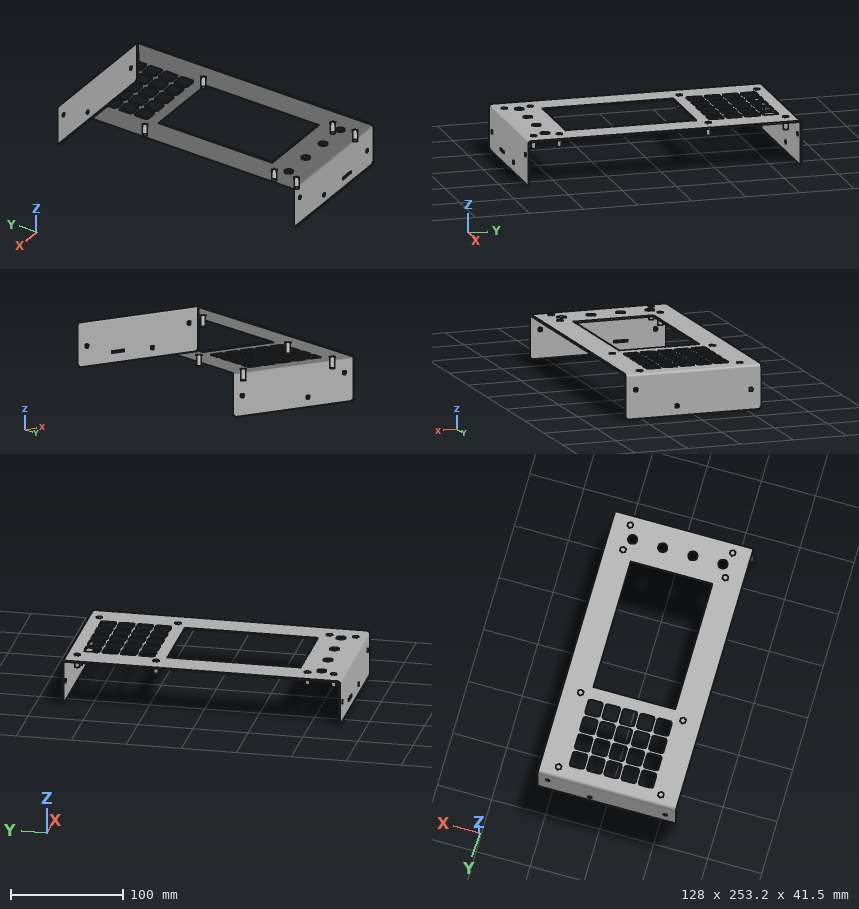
import cadquery as cq
import math

WIDTH = 128.0
LENGTH = 253.2
HEIGHT = 41.5
SHEET = 1.5
BEND_RADIUS = 3.0
WALL_CORNER_CHAMFER = 2.0

GRILLE_COLUMNS = 5
GRILLE_ROWS = 4
GRILLE_PITCH_X = 16.0
GRILLE_PITCH_Y = 16.7
GRILLE_OPENING_X = 13.2
GRILLE_OPENING_Y = 14.0
GRILLE_CORNER_RADIUS = 2.3
GRILLE_CENTRE_Y = 80.3

WINDOW_WIDTH = 75.5
WINDOW_TOP_Y = 36.2
WINDOW_BOTTOM_Y = -84.5

BUTTON_COUNT = 4
BUTTON_PITCH = 27.9
BUTTON_DIAMETER = 8.0
BUTTON_Y = -104.8

SCREW_HOLE_DIAMETER = 3.5
SCREW_HOLES = [(-54.5, 18.5), (54.5, 26.5), (15.5, 8.9)]
SLOT_LENGTH = 13.0
SLOT_HEIGHT = 1.8
SLOT_X = -21.5
SLOT_Z = 10.0

HEAD_ACROSS_FLATS = 4.8
POST_DIAMETER = 4.3
STANDOFF_LENGTH = 11.6
STANDOFF_X = 47.3
STANDOFF_ROWS_Y = [116.2, 44.5, -93.2, -117.0]
STANDOFF_PLACES = [(x, y) for y in STANDOFF_ROWS_Y for x in (-STANDOFF_X, STANDOFF_X)]


def folded_sheet():
    """Channel-shaped sheet with a rounded fold along each end."""
    outer = (
        cq.Workplane("XY")
        .box(WIDTH, LENGTH, HEIGHT, centered=(True, True, False))
        .edges("|X and >Z")
        .fillet(BEND_RADIUS)
        .edges("|Y and <Z")
        .chamfer(WALL_CORNER_CHAMFER)
    )
    inner = (
        cq.Workplane("XY")
        .box(WIDTH, LENGTH - 2 * SHEET, HEIGHT - SHEET, centered=(True, True, False))
        .edges("|X and >Z")
        .fillet(BEND_RADIUS - SHEET)
    )
    return outer.cut(inner)


def top_plane():
    return cq.Workplane("XY", origin=(0, 0, HEIGHT))


def front_plane():
    """Workplane on the -Y end wall; local Y is the height, extrusions run towards +Y when negative."""
    return cq.Workplane("XZ", origin=(0, -LENGTH / 2, 0))


def grille():
    return (
        top_plane()
        .center(0, GRILLE_CENTRE_Y)
        .rarray(GRILLE_PITCH_X, GRILLE_PITCH_Y, GRILLE_COLUMNS, GRILLE_ROWS)
        .rect(GRILLE_OPENING_X, GRILLE_OPENING_Y)
        .extrude(-SHEET)
        .edges("|Z")
        .fillet(GRILLE_CORNER_RADIUS)
    )


def display_window():
    return (
        top_plane()
        .center(0, (WINDOW_TOP_Y + WINDOW_BOTTOM_Y) / 2)
        .rect(WINDOW_WIDTH, WINDOW_TOP_Y - WINDOW_BOTTOM_Y)
        .extrude(-SHEET)
    )


def button_holes():
    return (
        top_plane()
        .center(0, BUTTON_Y)
        .rarray(BUTTON_PITCH, 2.5, BUTTON_COUNT, 1)
        .circle(BUTTON_DIAMETER / 2)
        .extrude(-SHEET)
    )


def screw_holes():
    """Matching holes through both end walls."""
    return front_plane().pushPoints(SCREW_HOLES).circle(SCREW_HOLE_DIAMETER / 2).extrude(-LENGTH)


def wall_slot():
    """Slot through the -Y end wall only."""
    return front_plane().center(SLOT_X, SLOT_Z).rect(SLOT_LENGTH, SLOT_HEIGHT).extrude(-SHEET)


def standoff_head(x, y):
    """Hexagon with corners towards +Y and -Y, as deep as the sheet."""
    across_corners = HEAD_ACROSS_FLATS / math.cos(math.pi / 6)
    return (
        top_plane()
        .center(x, y)
        .transformed(rotate=(0, 0, 90))
        .polygon(6, across_corners)
        .extrude(-SHEET)
    )


def standoff(x, y):
    """Round post with its hexagonal head; the rim of the post stays as an edge on the flush top face."""
    post = top_plane().center(x, y).circle(POST_DIAMETER / 2).extrude(-STANDOFF_LENGTH)
    return standoff_head(x, y).union(post, clean=False)


standoffs = [standoff(x, y) for x, y in STANDOFF_PLACES]

cover = folded_sheet()
for opening in (grille(), display_window(), button_holes(), screw_holes(), wall_slot(), *standoffs):
    cover = cover.cut(opening)

result = cq.Compound.makeCompound([cover.val(), *[post.val() for post in standoffs]])